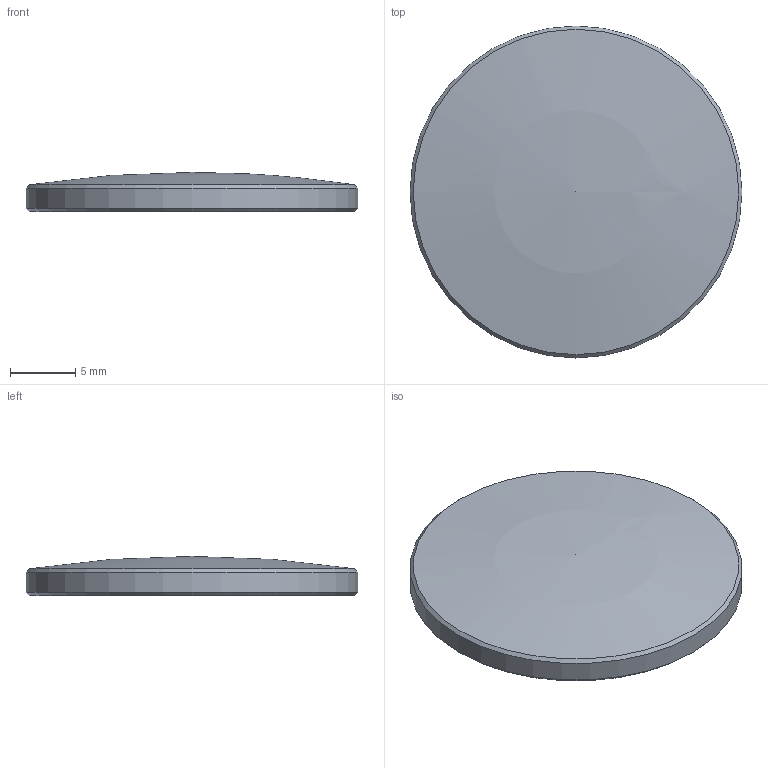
import cadquery as cq

diameter = 25.4
center_thickness = 3.0
bevel = 0.25
sphere_radius = 82.4

rim_radius = diameter / 2
face_radius = rim_radius - bevel


def dome_height(radius):
    """Height of the spherical face above the base at a distance from the axis."""
    sphere_center_z = center_thickness - sphere_radius
    return sphere_center_z + (sphere_radius**2 - radius**2) ** 0.5


face_edge_z = dome_height(face_radius)

half_section = (
    cq.Workplane("XZ")
    .moveTo(0, 0)
    .lineTo(face_radius, 0)
    .lineTo(rim_radius, bevel)
    .lineTo(rim_radius, face_edge_z - bevel)
    .lineTo(face_radius, face_edge_z)
    .threePointArc((face_radius / 2, dome_height(face_radius / 2)), (0, center_thickness))
    .close()
)

result = half_section.revolve(360, (0, 0, 0), (0, 1, 0))